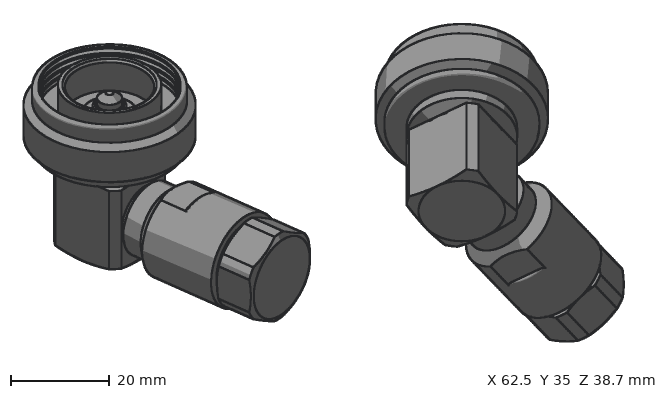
import cadquery as cq
import math


branch_radius = 10.5
plug_top = 28.2
branch_end = 45.0

nut_radius = 17.5
nut_rim_radius = 15.75
nut_top = 27.9
nut_upper_shoulder = 24.35
nut_band_top = 23.25
nut_band_bottom = 15.9
nut_lower_shoulder = 14.85
nut_bottom = 13.3
nut_top_fillet = 0.55
nut_bottom_fillet = 0.7

thread_minor_radius = 14.4
thread_depth = 0.75
thread_pitch = 1.5
thread_crest_width = 0.45
thread_count = 4
nut_floor = nut_top - thread_count * thread_pitch

tube_outer_radius = 10.5
tube_inner_radius = 9.05
tube_chamfer_width = 0.5
tube_chamfer_height = 0.55
tube_floor = 20.8
insulator_radius = 5.4
insulator_top = 21.75
collar_radius = 3.45
collar_top_radius = 3.0
collar_shoulder = 23.05
collar_top = 23.4
pin_radius = 2.55
pin_shoulder = 24.9
pin_nose_radius = 1.1
pin_nose_height = 26.0
pin_tip_radius = 0.8
pin_tip = 26.2

elbow_radius = 11.25
elbow_width = 17.55
elbow_half_width = elbow_width / 2
elbow_cone_top = 11.0
elbow_block_top = 9.7
elbow_bottom_corner = -9.25
elbow_bottom = -10.05

neck_start_radius = 6.9
neck_radius = 8.2
neck_cone_end = 10.25
neck_end = 14.75
sleeve_cone_end = neck_end + branch_radius - neck_radius
sleeve_end = 35.05
wrench_flat_height = 9.5
wrench_flat_end = 23.25
wrench_flat_fillet = 0.45

clamp_neck_radius = 8.8
clamp_start = 35.4
clamp_across_flats = 19.05
clamp_radius = 10.3
clamp_end_radius = 9.0
clamp_chamfer = 0.75


def turn_about_z(profile):
    """Revolve (radius, z) points that close along the Z axis."""
    return cq.Workplane("XZ").polyline(profile).close().revolve(360, (0, 0), (0, 1))


def turn_about_x(profile):
    """Revolve (x, radius) points that close along the X axis."""
    return cq.Workplane("XY").polyline(profile).close().revolve(360, (0, 0), (1, 0))


def thread_groove(index):
    """Vee groove in the nut bore below the crest with this index."""
    upper_edge = nut_top - index * thread_pitch - thread_crest_width
    lower_edge = nut_top - (index + 1) * thread_pitch
    root_height = (upper_edge + lower_edge) / 2
    return turn_about_z([
        (0, upper_edge),
        (thread_minor_radius, upper_edge),
        (thread_minor_radius + thread_depth, root_height),
        (thread_minor_radius, lower_edge),
        (0, lower_edge),
    ])


def coupling_nut():
    nut = turn_about_z([
        (0, nut_top),
        (nut_rim_radius, nut_top),
        (nut_rim_radius, nut_upper_shoulder),
        (nut_radius, nut_band_top),
        (nut_radius, nut_band_bottom),
        (nut_rim_radius, nut_lower_shoulder),
        (nut_rim_radius, nut_bottom),
        (0, nut_bottom),
    ])
    nut = nut.faces(">Z").edges().fillet(nut_top_fillet)
    nut = nut.faces("<Z").edges().fillet(nut_bottom_fillet)
    bore = cq.Workplane("XY").workplane(offset=nut_floor).circle(thread_minor_radius)
    nut = nut.cut(bore.extrude(nut_top - nut_floor))
    for index in range(thread_count):
        nut = nut.cut(thread_groove(index))
    return nut


def contact_tube():
    tube = cq.Workplane("XY").workplane(offset=nut_bottom).circle(tube_outer_radius)
    return tube.extrude(plug_top - nut_bottom)


def contact_tube_bore():
    return turn_about_z([
        (0, tube_floor),
        (tube_inner_radius, tube_floor),
        (tube_inner_radius, plug_top - tube_chamfer_height),
        (tube_inner_radius + tube_chamfer_width, plug_top),
        (0, plug_top),
    ])


def centre_contact():
    """Insulator step, collar and pointed pin standing on the tube floor."""
    return turn_about_z([
        (0, nut_bottom),
        (insulator_radius, nut_bottom),
        (insulator_radius, insulator_top),
        (collar_radius, insulator_top),
        (collar_radius, collar_shoulder),
        (collar_top_radius, collar_top),
        (pin_radius, collar_top),
        (pin_radius, pin_shoulder),
        (pin_nose_radius, pin_nose_height),
        (pin_tip_radius, pin_tip),
        (0, pin_tip),
    ])


def elbow():
    ferrule = turn_about_z([
        (0, nut_bottom),
        (elbow_radius, nut_bottom),
        (elbow_radius, elbow_cone_top),
        (elbow_half_width, elbow_block_top),
        (0, elbow_block_top),
    ])
    bar = turn_about_z([
        (0, elbow_block_top),
        (elbow_radius, elbow_block_top),
        (elbow_radius, elbow_bottom_corner),
        (elbow_half_width, elbow_bottom),
        (0, elbow_bottom),
    ])
    flats = cq.Workplane("XY").box(elbow_width, elbow_width, 4 * elbow_radius)
    return ferrule.union(bar.intersect(flats))


def branch_sleeve():
    """Necked sleeve with a wrench flat above and below, ending at a rounded step."""
    core = turn_about_x([
        (0, 0),
        (0, neck_start_radius),
        (elbow_half_width, neck_start_radius),
        (neck_cone_end, neck_radius),
        (neck_end, neck_radius),
        (sleeve_cone_end, branch_radius),
        (sleeve_end, branch_radius),
        (sleeve_end, 0),
    ])
    flats = cq.Workplane("XY").box(2 * branch_end, 4 * branch_radius, 2 * wrench_flat_height)
    full_round = cq.Workplane("YZ").workplane(offset=wrench_flat_end).circle(branch_radius)
    full_round = full_round.extrude(sleeve_end - wrench_flat_end)
    full_round = full_round.faces("<X").edges().fillet(wrench_flat_fillet)
    return core.intersect(flats).union(full_round)


def clamping_nut():
    neck = cq.Workplane("YZ").workplane(offset=sleeve_end).circle(clamp_neck_radius)
    neck = neck.extrude(clamp_start - sleeve_end)
    blank = turn_about_x([
        (clamp_start, 0),
        (clamp_start, clamp_end_radius),
        (clamp_start + clamp_chamfer, clamp_radius),
        (branch_end - clamp_chamfer, clamp_radius),
        (branch_end, clamp_end_radius),
        (branch_end, 0),
    ])
    across_corners = clamp_across_flats / math.cos(math.radians(30))
    hexagon = cq.Workplane("YZ").transformed(rotate=(0, 0, 90)).polygon(6, across_corners)
    return neck.union(blank.intersect(hexagon.extrude(branch_end)))


plug = coupling_nut().union(contact_tube()).cut(contact_tube_bore()).union(centre_contact())
result = plug.union(elbow()).union(branch_sleeve()).union(clamping_nut())